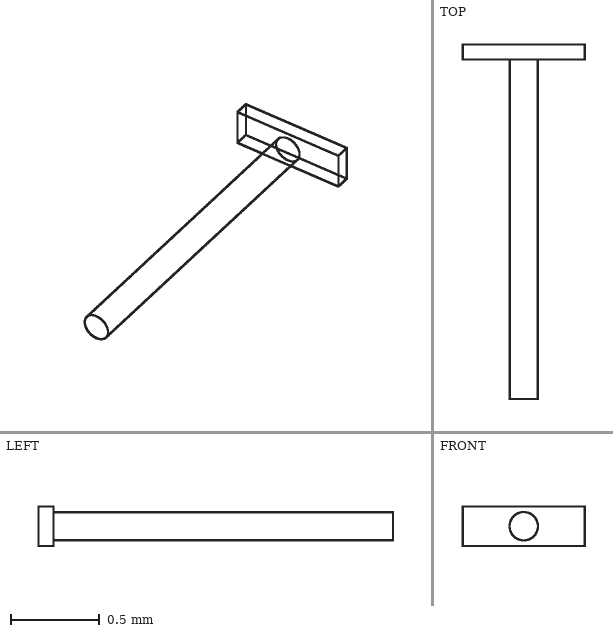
import cadquery as cq

head_width = 0.69
head_height = 0.225
head_thickness = 0.085

overall_length = 2.0
shaft_diameter = 0.16
shaft_length = overall_length - head_thickness


def make_head():
    """Plate centred in X and Z, its -Y face lying at Y = 0."""
    return cq.Workplane("XY").box(
        head_width, head_thickness, head_height, centered=(True, False, True)
    )


def make_shaft():
    """Round pin along the Y axis, growing from Y = 0 toward -Y."""
    return cq.Workplane("XZ").circle(shaft_diameter / 2).extrude(shaft_length)


result = make_head().union(make_shaft())